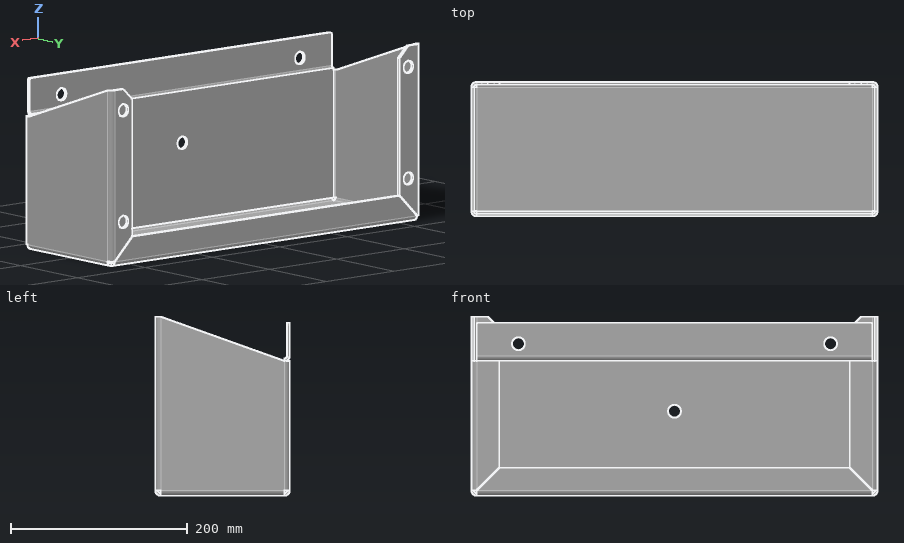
import cadquery as cq
import math

width = 460.5
depth = 152.5
height = 203.0

sheet = 3.0
bend_inner = 2.8
bend_outer = sheet + bend_inner
hole_diameter = 14.5

lip_width = 31.8
front_height = 153.0
tab_chamfer = 13.0
mitre_gap = 0.7
tab_hole_inset = 19.0
tab_hole_heights = (50.0, 178.5)

panel_top = 196.0
panel_corner_radius = 2.5
panel_hole_height = 95.8
flange_hole_height = 172.0
flange_hole_inset = 53.5
jog_height = 158.5


def hole_along_y(x, z, y_start):
    """Cylinder through one sheet whose outer face lies at y_start."""
    return cq.Workplane("XZ", origin=(x, y_start, z)).circle(hole_diameter / 2).extrude(-2 * sheet)


def rounded_block(inset, top, radius):
    """Block inset from the housing envelope, rounded at its uprights and its floor."""
    return (
        cq.Workplane("XY")
        .box(width - 2 * inset, depth - 2 * inset, top - inset, centered=False)
        .edges("|Z or <Z")
        .fillet(radius)
        .translate((inset, inset, inset))
    )


def front_window():
    """Opening between the front lips."""
    return cq.Workplane("XY").box(
        width - 2 * lip_width, bend_outer, height, centered=False
    ).translate((lip_width, 0, lip_width))


def rear_window():
    """Opening between the rear lips, widened by a chamfer at the top of each tab."""
    right = width - lip_width
    chamfer_start = height - tab_chamfer
    return (
        cq.Workplane("XZ", origin=(0, depth - bend_outer, 0))
        .moveTo(lip_width, lip_width)
        .lineTo(right, lip_width)
        .lineTo(right, chamfer_start)
        .lineTo(right + tab_chamfer, height)
        .lineTo(lip_width - tab_chamfer, height)
        .lineTo(lip_width, chamfer_start)
        .close()
        .extrude(-bend_outer)
    )


def sloped_top():
    """Space above the side walls, which fall from the rear bend to the front bend."""
    return (
        cq.Workplane("YZ")
        .moveTo(0, front_height)
        .lineTo(bend_outer, front_height)
        .lineTo(depth - bend_outer, height)
        .lineTo(0, height)
        .close()
        .extrude(width)
    )


def mitre_slit(x_corner, direction, y_start):
    """Diagonal slit between a side lip and the floor lip, ending at the corner bend."""
    length = math.sqrt(2) * (lip_width - bend_outer + mitre_gap)
    angle = -45 if direction > 0 else -135
    return (
        cq.Workplane("XY")
        .box(length, sheet, mitre_gap, centered=(False, False, True))
        .rotate((0, 0, 0), (0, 1, 0), angle)
        .translate((x_corner + direction * bend_outer, y_start, bend_outer))
    )


def corner_reliefs():
    """Cubes that open the floor corners, where three bends would otherwise meet."""
    return (
        cq.Workplane("XY", origin=(width / 2, depth / 2, bend_outer / 2))
        .rarray(width - bend_outer, depth - bend_outer, 2, 2)
        .box(bend_outer, bend_outer, bend_outer)
    )


def make_housing():
    """Tray with sloping sides, lips along the front and rear, and mounting tabs at the rear."""
    body = rounded_block(0, height, bend_outer).cut(rounded_block(sheet, height + sheet, bend_inner))
    body = body.cut(front_window()).cut(rear_window()).cut(sloped_top()).cut(corner_reliefs())
    for x_corner, direction in ((0, 1), (width, -1)):
        for y_start in (0, depth - sheet):
            body = body.cut(mitre_slit(x_corner, direction, y_start))
        for z in tab_hole_heights:
            x_hole = x_corner + direction * tab_hole_inset
            body = body.cut(hole_along_y(x_hole, z, depth - sheet))
    return body


def make_panel():
    """Plate behind the front lips that jogs forward into a flange above them."""
    arc_drop = math.sqrt(bend_outer**2 - (bend_outer - sheet) ** 2)
    half_angle = math.asin(arc_drop / bend_outer) / 2
    diagonal = math.sqrt(0.5)
    profile = (
        cq.Workplane("YZ", origin=(bend_outer, 0, 0))
        .moveTo(0, panel_top)
        .lineTo(0, jog_height)
        .threePointArc(
            (bend_outer * (1 - math.cos(half_angle)), jog_height - bend_outer * math.sin(half_angle)),
            (sheet, jog_height - arc_drop),
        )
        .lineTo(sheet, bend_outer)
        .lineTo(bend_outer, bend_outer)
        .lineTo(bend_outer, jog_height - bend_inner)
        .threePointArc(
            (bend_outer - bend_inner * diagonal, jog_height - bend_inner * diagonal),
            (sheet, jog_height),
        )
        .lineTo(sheet, panel_top)
        .close()
    )
    body = profile.extrude(width - 2 * bend_outer)
    body = body.edges("|Y and >Z").fillet(panel_corner_radius)
    body = body.cut(hole_along_y(width / 2, panel_hole_height, sheet))
    for x in (flange_hole_inset, width - flange_hole_inset):
        body = body.cut(hole_along_y(x, flange_hole_height, 0))
    return body


housing = make_housing()
panel = make_panel()
result = cq.Compound.makeCompound([housing.val(), panel.val()])